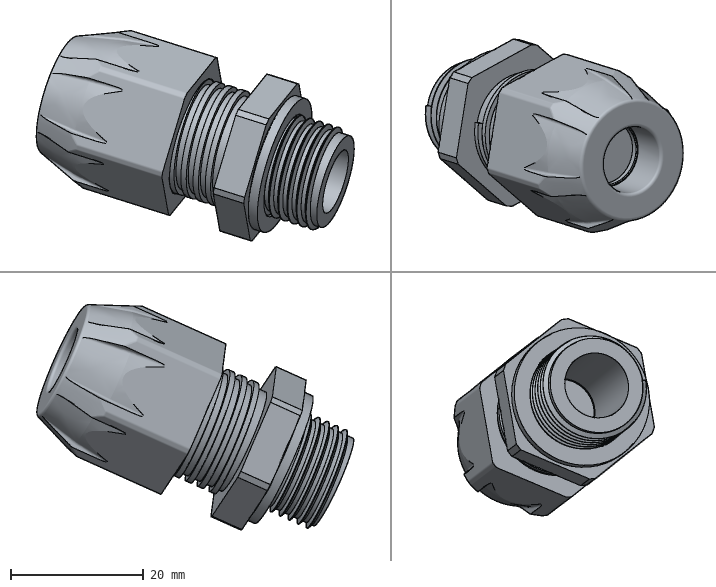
import cadquery as cq
import math

TILT_UP = 1.3
TILT_SIDE = 0.45
ROLL = 9.8

ACROSS_FLATS = 22.0
HEX_SIDES = 6

CAP_LENGTH = 21.9
CAP_CORNER_CUT = 0.5
CAP_CORNER_ROUND = 0.6
NOSE_RADIUS = 18.74 / 2
NOSE_RIM = 0.4
NOSE_ROUND = 0.5
RIDGE_CONE_END = 7.9
RIDGE_HALF_ANGLE = 8.3
SCOOP_KINK_X = 6.75
SCOOP_APEX_X = 7.15
SCOOP_TIP_X = 13.1
SCOOP_ROUND = 0.35
LONG_SCOOP_SHIFT = 1.1
LONG_SCOOP_FACES = (0, 3)
RIDGE_EDGE_ROUND = 0.5
CABLE_BORE = 10.25
CABLE_BORE_LENGTH = 6.3
CABLE_BORE_ROUND = 0.5

BODY_START = 8.0
HEX_START = 30.3
HEX_LENGTH = 5.0
HEX_CORNER_CUT = 0.63
SHANK_RADIUS = 16.43 / 2
SPIGOT_RADIUS = 14.55 / 2
BODY_END = 45.28
PASSAGE_DIAMETER = 10.0

CAP_THREAD_PITCH = 2.0
CAP_THREAD_RADIUS = 9.0
CAP_THREAD_WIDTH = 0.88
CAP_THREAD_TURNS = 4
CAP_THREAD_END = 29.25
SPIGOT_THREAD_PITCH = 1.5
SPIGOT_THREAD_RADIUS = 8.0
SPIGOT_THREAD_BASE = 1.05
SPIGOT_THREAD_CREST = 0.12
SPIGOT_THREAD_TURNS = 6
SPIGOT_THREAD_END = 44.6
THREAD_ROOT_SINK = 0.2

WASHER_FACE = 0.15
WASHER_FACE_RADIUS = 10.2
GASKET_DIAMETER = 21.2
GASKET_THICKNESS = 1.5
SEAL_DIAMETER = 13.18
SEAL_LENGTH = 20.0
SEAL_BORE = 9.7
SEAL_MOUTH_CHAMFER = 0.15
THREAD_CLEARANCE = 0.1
PLUG_FACE_X = 7.4

flat_radius = ACROSS_FLATS / 2
side_angle = 360 / HEX_SIDES
half_side_angle = side_angle / 2
corner_radius = flat_radius / math.cos(math.radians(half_side_angle))
cap_corner_radius = corner_radius - CAP_CORNER_CUT / 2
ridge_cone_slope = (cap_corner_radius - NOSE_RADIUS) / (RIDGE_CONE_END - NOSE_RIM)
scoop_half_angle = half_side_angle - RIDGE_HALF_ANGLE
scoop_tip_radius = flat_radius / math.cos(math.radians(scoop_half_angle))
scoop_slope = (scoop_tip_radius - flat_radius) / (SCOOP_TIP_X - SCOOP_APEX_X)
scoop_kink_radius = flat_radius - scoop_slope * (SCOOP_APEX_X - SCOOP_KINK_X)
hex_end = HEX_START + HEX_LENGTH
gasket_start = hex_end + WASHER_FACE
seal_end = CABLE_BORE_LENGTH + SEAL_LENGTH
outer_limit = 2 * corner_radius


def revolve_profile(points):
    """Turn a closed (x, radius) outline about the gland axis."""
    return cq.Workplane("XY").polyline(points).close().revolve(360, (0, 0, 0), (1, 0, 0))


def cylinder(start, end, radius):
    return cq.Workplane("YZ").workplane(offset=start).circle(radius).extrude(end - start)


def hexagon(start, end):
    """Hexagonal prism with one corner at +Z before the roll."""
    prism = cq.Workplane("YZ").workplane(offset=start).polygon(HEX_SIDES, 2 * corner_radius)
    return prism.extrude(end - start).rotate((0, 0, 0), (1, 0, 0), 90)


def thread(profile, pitch, turns, end, core_radius):
    """Right-hand ridge with an (axial, radial) profile, ending on the +Y side at x = end."""
    path = cq.Workplane(cq.Wire.makeHelix(pitch, pitch * turns, core_radius))
    section = cq.Workplane("XZ").polyline([(radial, axial) for axial, radial in profile]).close()
    ridge = section.sweep(path, isFrenet=True)
    along_x = ridge.rotate((0, 0, 0), (0, 1, 0), 90).rotate((0, 0, 0), (1, 0, 0), 90)
    return along_x.translate((end - pitch * turns, 0, 0))


def place(body):
    """Roll the body about the gland axis, then tilt the axis to its final direction."""
    rolled = body.rotate((0, 0, 0), (1, 0, 0), ROLL)
    raised = rolled.rotate((0, 0, 0), (0, 1, 0), -TILT_UP)
    return raised.rotate((0, 0, 0), (0, 0, 1), -TILT_SIDE)


def make_scoop_cutter(shift):
    """Sector outside the two scoop cones, centred on +Z; shift lengthens the scoop toward +X."""
    kink_x = SCOOP_KINK_X + shift
    nose_slope = (scoop_kink_radius - NOSE_RADIUS) / (kink_x - NOSE_RIM)
    end_radius = scoop_kink_radius + scoop_slope * (CAP_LENGTH - kink_x)
    sector = (
        cq.Workplane("XZ")
        .polyline([
            (0, NOSE_RADIUS - nose_slope * NOSE_RIM),
            (kink_x, scoop_kink_radius),
            (CAP_LENGTH, end_radius),
            (CAP_LENGTH, outer_limit),
            (0, outer_limit),
        ])
        .close()
        .revolve(2 * scoop_half_angle, (0, 0, 0), (1, 0, 0))
    )
    centred = sector.rotate((0, 0, 0), (1, 0, 0), -scoop_half_angle)
    floor_edges = cq.selectors.BoxSelector(
        (0, -outer_limit, 0), (CAP_LENGTH, outer_limit, end_radius)
    )
    return centred.edges(floor_edges).edges("not %CIRCLE").fillet(SCOOP_ROUND)


def make_cap():
    prism = hexagon(0, CAP_LENGTH).edges("|X").chamfer(CAP_CORNER_CUT)
    prism = prism.edges("|X").fillet(CAP_CORNER_ROUND)
    ridge_cone = revolve_profile([
        (0, 0),
        (0, NOSE_RADIUS - ridge_cone_slope * NOSE_RIM),
        (CAP_LENGTH, NOSE_RADIUS + ridge_cone_slope * (CAP_LENGTH - NOSE_RIM)),
        (CAP_LENGTH, 0),
    ])
    ridge_cone = ridge_cone.faces("<X").edges().fillet(NOSE_ROUND)
    cap = prism.intersect(ridge_cone)

    behind_rim = NOSE_RIM + NOSE_ROUND
    ridge_ends = cq.selectors.BoxSelector(
        (behind_rim, -outer_limit, -outer_limit), (CAP_LENGTH / 2, outer_limit, outer_limit)
    )
    cap = cap.edges(ridge_ends).edges("not |X").fillet(RIDGE_EDGE_ROUND)
    for face in range(HEX_SIDES):
        shift = LONG_SCOOP_SHIFT if face in LONG_SCOOP_FACES else 0
        turn = side_angle * face - half_side_angle
        cap = cap.cut(make_scoop_cutter(shift).rotate((0, 0, 0), (1, 0, 0), turn))

    cap = cap.cut(cylinder(0, CABLE_BORE_LENGTH, CABLE_BORE / 2))
    bore_rim = cap.faces("<X").edges("%CIRCLE").edges(cq.selectors.RadiusNthSelector(0))
    cap = bore_rim.fillet(CABLE_BORE_ROUND)
    return cap.cut(cylinder(CABLE_BORE_LENGTH, CAP_LENGTH, CAP_THREAD_RADIUS + THREAD_CLEARANCE))


def make_body():
    core = cylinder(BODY_START, HEX_START, SHANK_RADIUS)
    nut = hexagon(HEX_START, hex_end).edges("|X").chamfer(HEX_CORNER_CUT)
    washer_face = cylinder(hex_end, gasket_start, WASHER_FACE_RADIUS)
    spigot = cylinder(hex_end, BODY_END, SPIGOT_RADIUS)
    body = core.union(nut).union(washer_face).union(spigot)

    half_width = CAP_THREAD_WIDTH / 2
    square_profile = [
        (-half_width, SHANK_RADIUS - THREAD_ROOT_SINK),
        (-half_width, CAP_THREAD_RADIUS),
        (half_width, CAP_THREAD_RADIUS),
        (half_width, SHANK_RADIUS - THREAD_ROOT_SINK),
    ]
    body = body.union(
        thread(square_profile, CAP_THREAD_PITCH, CAP_THREAD_TURNS, CAP_THREAD_END, SHANK_RADIUS)
    )

    half_base = SPIGOT_THREAD_BASE / 2
    half_crest = SPIGOT_THREAD_CREST / 2
    vee_profile = [
        (-half_base, SPIGOT_RADIUS - THREAD_ROOT_SINK),
        (-half_crest, SPIGOT_THREAD_RADIUS),
        (half_crest, SPIGOT_THREAD_RADIUS),
        (half_base, SPIGOT_RADIUS - THREAD_ROOT_SINK),
    ]
    body = body.union(
        thread(vee_profile, SPIGOT_THREAD_PITCH, SPIGOT_THREAD_TURNS, SPIGOT_THREAD_END, SPIGOT_RADIUS)
    )

    body = body.cut(cylinder(BODY_START, seal_end, SEAL_DIAMETER / 2))
    return body.cut(cylinder(seal_end, BODY_END, PASSAGE_DIAMETER / 2))


def make_gasket():
    """Flat ring that sits against the washer face of the body."""
    end = gasket_start + GASKET_THICKNESS
    ring = cylinder(gasket_start, end, GASKET_DIAMETER / 2)
    return ring.cut(cylinder(gasket_start, end, SPIGOT_THREAD_RADIUS + THREAD_CLEARANCE))


def make_seal():
    """Clamping sleeve between the cap shoulder and the bottom of the body bore."""
    sleeve = cylinder(CABLE_BORE_LENGTH, seal_end, SEAL_DIAMETER / 2)
    sleeve = sleeve.cut(cylinder(CABLE_BORE_LENGTH, seal_end, SEAL_BORE / 2))
    mouth = sleeve.faces("<X").edges(cq.selectors.RadiusNthSelector(0))
    return mouth.chamfer(SEAL_MOUTH_CHAMFER)


def make_plug():
    """Blanking plug that closes the passage through the seal."""
    return cylinder(PLUG_FACE_X, seal_end, SEAL_BORE / 2)


cap = place(make_cap())
body = place(make_body())
gasket = place(make_gasket())
seal = place(make_seal())
plug = place(make_plug())

result = cq.Compound.makeCompound([cap.val(), body.val(), gasket.val(), seal.val(), plug.val()])